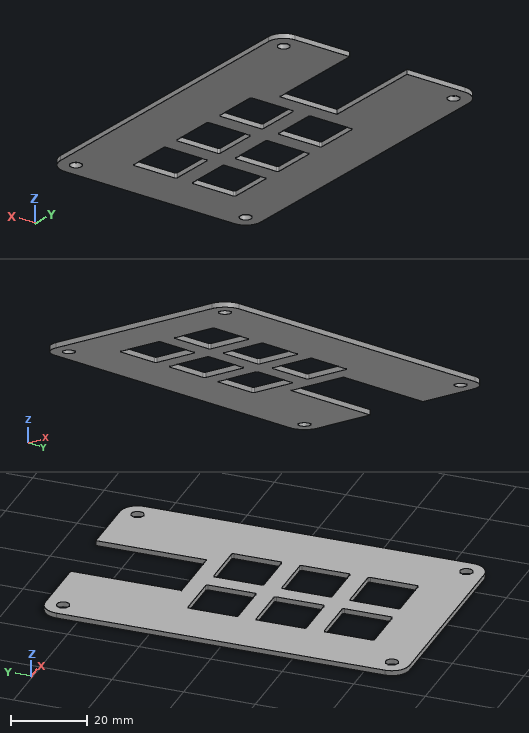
import cadquery as cq

plate_width = 65.05
plate_length = 101.92
plate_thickness = 1.5
corner_radius = 5.0

screw_hole_diameter = 3.4

notch_width = 18.5
notch_depth = 31.0
notch_left_margin = 23.75

key_columns = 2
key_rows = 3
key_size = 14.0
key_pitch = 19.05
key_corner_radius = 0.5
key_left_margin = 14.975
key_bottom_margin = 13.825

left_edge = -plate_width / 2
bottom_edge = -plate_length / 2
top_edge = plate_length / 2


def make_plate():
    blank = cq.Workplane("XY").rect(plate_width, plate_length).extrude(plate_thickness)
    return blank.edges("|Z").fillet(corner_radius)


def make_screw_holes():
    spacing_x = plate_width - 2 * corner_radius
    spacing_y = plate_length - 2 * corner_radius
    return (
        cq.Workplane("XY")
        .rect(spacing_x, spacing_y, forConstruction=True)
        .vertices()
        .circle(screw_hole_diameter / 2)
        .extrude(plate_thickness)
    )


def make_notch():
    center_x = left_edge + notch_left_margin + notch_width / 2
    center_y = top_edge - notch_depth / 2
    return (
        cq.Workplane("XY")
        .center(center_x, center_y)
        .rect(notch_width, notch_depth)
        .extrude(plate_thickness)
    )


def make_key_cutouts():
    grid_width = (key_columns - 1) * key_pitch + key_size
    grid_length = (key_rows - 1) * key_pitch + key_size
    center_x = left_edge + key_left_margin + grid_width / 2
    center_y = bottom_edge + key_bottom_margin + grid_length / 2
    return (
        cq.Workplane("XY")
        .center(center_x, center_y)
        .rarray(key_pitch, key_pitch, key_columns, key_rows)
        .rect(key_size, key_size)
        .extrude(plate_thickness)
        .edges("|Z")
        .fillet(key_corner_radius)
    )


result = make_plate().cut(make_screw_holes()).cut(make_notch()).cut(make_key_cutouts())